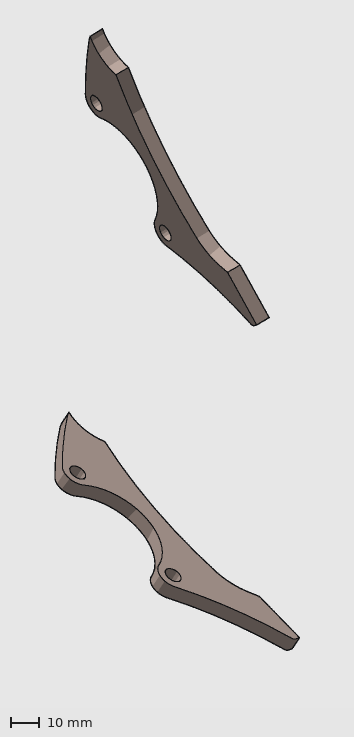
import cadquery as cq
import math

THICKNESS = 5.6
LUG_RADIUS = 6.0
HOLE_DIAMETER = 6.2
UPPER_LUG = (LUG_RADIUS, 43.5)
LOWER_LUG = (43.1, 8.6)

RELIEF_RADIUS = 21.6

HORN_SIDE_MIDDLE = (0.7, 61.1)
HORN_SIDE_END = (2.0, 72.1)
HORN_TIP = (2.6, 74.3)
HORN_NOTCH_MIDDLE = (8.5, 68.4)
HORN_SHOULDER = (16.5, 66.2)

EDGE_MIDDLE = (35.0, 41.7)
EDGE_END = (60.1, 19.5)
STEP_MIDDLE = (65.5, 16.9)
STEP_START = (71.7, 15.8)
STEP_END = (76.5, 15.8)

BLADE_TIP = (92.2, 2.0)
BLADE_NOSE_TOP = (90.8, 0.6)
BLADE_NOSE_MIDDLE = (90.1, 0.1)
BLADE_NOSE_BOTTOM = (89.2, 0.0)
BLADE_UNDERSIDE_MIDDLE = (66.7, 3.1)
UNDERSIDE_ANGLE = math.radians(-86)


def rim_point(center, radius, angle):
    """Point on a circle, with the angle measured from +X toward +Z."""
    return (
        center[0] + radius * math.cos(angle),
        center[1] + radius * math.sin(angle),
    )


def direction(start, end):
    return math.atan2(end[1] - start[1], end[0] - start[0])


def relief_center():
    """Center on the lower-left side, one tangent distance from each lug center."""
    half_span = math.dist(UPPER_LUG, LOWER_LUG) / 2
    middle = (
        (UPPER_LUG[0] + LOWER_LUG[0]) / 2,
        (UPPER_LUG[1] + LOWER_LUG[1]) / 2,
    )
    offset = math.sqrt((RELIEF_RADIUS + LUG_RADIUS) ** 2 - half_span**2)
    return rim_point(middle, offset, direction(UPPER_LUG, LOWER_LUG) - math.pi / 2)


def plate():
    center = relief_center()
    to_upper = direction(center, UPPER_LUG)
    to_lower = direction(center, LOWER_LUG)

    upper_inner_angle = to_upper - math.pi
    lower_inner_angle = to_lower - math.pi
    upper_lug_middle = (upper_inner_angle - math.pi) / 2
    lower_lug_middle = (lower_inner_angle + UNDERSIDE_ANGLE) / 2

    profile = (
        cq.Workplane("XZ")
        .moveTo(*rim_point(UPPER_LUG, LUG_RADIUS, math.pi))
        .threePointArc(HORN_SIDE_MIDDLE, HORN_SIDE_END)
        .lineTo(*HORN_TIP)
        .threePointArc(HORN_NOTCH_MIDDLE, HORN_SHOULDER)
        .threePointArc(EDGE_MIDDLE, EDGE_END)
        .threePointArc(STEP_MIDDLE, STEP_START)
        .lineTo(*STEP_END)
        .lineTo(*BLADE_TIP)
        .lineTo(*BLADE_NOSE_TOP)
        .threePointArc(BLADE_NOSE_MIDDLE, BLADE_NOSE_BOTTOM)
        .threePointArc(
            BLADE_UNDERSIDE_MIDDLE,
            rim_point(LOWER_LUG, LUG_RADIUS, UNDERSIDE_ANGLE),
        )
        .threePointArc(
            rim_point(LOWER_LUG, LUG_RADIUS, lower_lug_middle),
            rim_point(LOWER_LUG, LUG_RADIUS, lower_inner_angle),
        )
        .threePointArc(
            rim_point(center, RELIEF_RADIUS, (to_upper + to_lower) / 2),
            rim_point(center, RELIEF_RADIUS, to_upper),
        )
        .threePointArc(
            rim_point(UPPER_LUG, LUG_RADIUS, upper_lug_middle),
            rim_point(UPPER_LUG, LUG_RADIUS, math.pi),
        )
        .close()
    )
    return profile.extrude(THICKNESS)


def lug_holes():
    return (
        cq.Workplane("XZ")
        .pushPoints([UPPER_LUG, LOWER_LUG])
        .circle(HOLE_DIAMETER / 2)
        .extrude(THICKNESS)
    )


result = plate().cut(lug_holes())